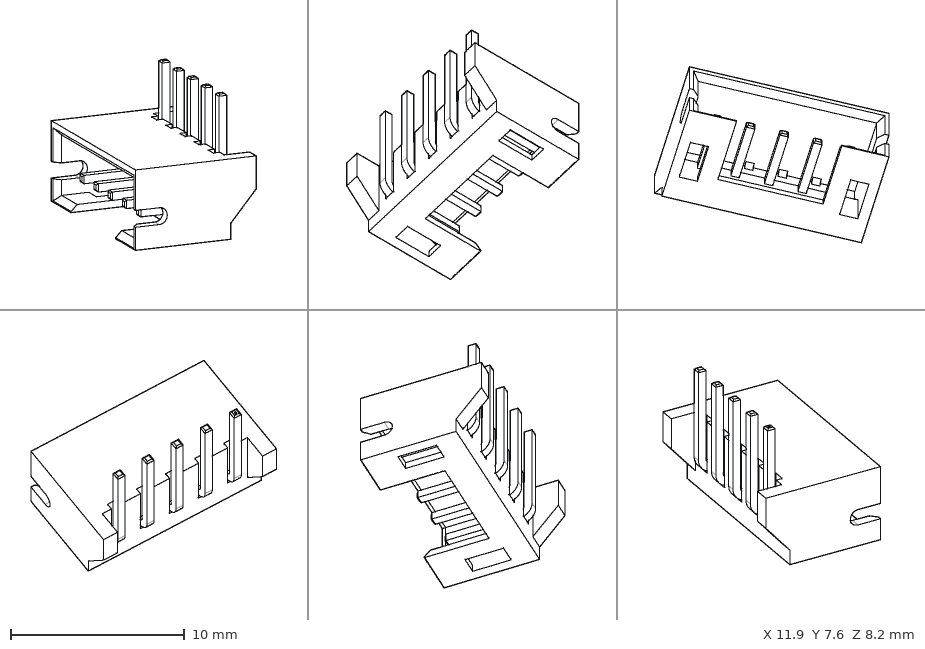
import cadquery as cq


width = 11.9
body_height = 4.8
body_depth = 6.01
ear_depth = 7.6
ear_width = 0.96
ear_slope_low = 0.96
ear_slope_high = 2.83

side_wall = 0.63
floor_thickness = 0.45
ceiling_thickness = 0.75
mouth_bevel = 0.38
lower_wall_y = 4.5
ledge_slope_low = 2.08
ledge_slope_high = 2.75
upper_wall_y = lower_wall_y + ledge_slope_high - ledge_slope_low
cavity_half_width = width / 2 - side_wall
cavity_top = body_height - ceiling_thickness

floor_gap_width = 6.27
floor_gap_depth = 4.07
window_width = 1.08
window_front_y = 2.08
side_slot_bottom = 1.38
side_slot_height = 1.0
side_slot_depth = 2.0

pin_count = 5
pitch = 2.0
pin_size = 0.5
pin_front_y = 1.0
pin_bottom = 1.45
pin_top = 8.2
pin_bend_radius = 0.4
pin_tip_chamfer = 0.1
pin_back_y = body_depth + pin_size
pin_notch_width = 0.73
first_pin_mark = 0.08
mark_depth = 0.05

gusset_size = 0.3
gusset_width = 0.5


def row(count):
    """X positions of evenly pitched items centred on X = 0."""
    return [(i - (count - 1) / 2) * pitch for i in range(count)]


def box(x_min, x_max, y_min, y_max, z_min, z_max):
    size = (x_max - x_min, y_max - y_min, z_max - z_min)
    return cq.Workplane("XY").box(*size, centered=False).translate((x_min, y_min, z_min))


def centred_box(x, x_size, y_min, y_max, z_min, z_max):
    return box(x - x_size / 2, x + x_size / 2, y_min, y_max, z_min, z_max)


def side_profile(x, points, thickness):
    """Prism with a (Y, Z) outline, centred on x."""
    prism = cq.Workplane("YZ").polyline(points).close().extrude(thickness / 2, both=True)
    return prism.translate((x, 0, 0))


def shroud_block():
    """Solid outline with two ears standing out behind the back wall."""
    outline = [
        (0, 0),
        (body_depth, 0),
        (body_depth, ear_slope_low),
        (ear_depth, ear_slope_high),
        (ear_depth, body_height),
        (0, body_height),
    ]
    block = side_profile(0, outline, width)
    return block.cut(centred_box(0, width - 2 * ear_width, body_depth, ear_depth, 0, body_height))


def plug_cavity():
    """Cavity with a sloped ledge on its back wall and a bevelled mouth."""
    outline = [
        (0, floor_thickness),
        (lower_wall_y, floor_thickness),
        (lower_wall_y, ledge_slope_low),
        (upper_wall_y, ledge_slope_high),
        (upper_wall_y, cavity_top),
        (0, cavity_top),
    ]
    cavity = side_profile(0, outline, 2 * cavity_half_width)
    mouth = (
        cq.Workplane("XZ")
        .center(0, (floor_thickness + cavity_top) / 2)
        .rect(2 * (cavity_half_width + mouth_bevel), cavity_top - floor_thickness + 2 * mouth_bevel)
        .workplane(offset=-mouth_bevel)
        .rect(2 * cavity_half_width, cavity_top - floor_thickness)
        .loft(ruled=True)
    )
    return cavity.union(mouth)


def floor_openings():
    """Wide gap in the floor, open at the front, and a window beside each side wall."""
    openings = centred_box(0, floor_gap_width, 0, floor_gap_depth, 0, floor_thickness + mouth_bevel)
    for side in (-1, 1):
        x = side * (cavity_half_width - window_width / 2)
        openings = openings.union(
            centred_box(x, window_width, window_front_y, lower_wall_y, 0, floor_thickness)
        )
    return openings


def side_slots():
    """Round-ended slot through both side walls, open at the front."""
    radius = side_slot_height / 2
    slot_top = side_slot_bottom + side_slot_height
    return (
        cq.Workplane("YZ")
        .moveTo(0, side_slot_bottom)
        .lineTo(side_slot_depth - radius, side_slot_bottom)
        .threePointArc((side_slot_depth, side_slot_bottom + radius), (side_slot_depth - radius, slot_top))
        .lineTo(0, slot_top)
        .close()
        .extrude(width / 2, both=True)
    )


def pin_notch(x):
    """Clearance in the top back edge, down to the underside of the pin."""
    front_y = body_depth - pin_bend_radius
    return centred_box(x, pin_notch_width, front_y, body_depth, pin_bottom, body_height)


def gusset(x):
    """45-degree wedge between the cavity ceiling and its back wall."""
    outline = [
        (upper_wall_y, cavity_top),
        (upper_wall_y - gusset_size, cavity_top),
        (upper_wall_y, cavity_top - gusset_size),
    ]
    return side_profile(x, outline, gusset_width)


def pin(x):
    """Square pin running back through the shroud, then bent upward."""
    horizontal = centred_box(x, pin_size, pin_front_y, pin_back_y, pin_bottom, pin_bottom + pin_size)
    upright = centred_box(x, pin_size, body_depth, pin_back_y, pin_bottom, pin_top)
    bent = horizontal.union(upright)
    inner_corner = cq.selectors.NearestToPointSelector((x, body_depth, pin_bottom + pin_size))
    outer_corner = cq.selectors.NearestToPointSelector((x, pin_back_y, pin_bottom))
    bent = bent.edges(inner_corner).fillet(pin_bend_radius)
    bent = bent.edges(outer_corner).fillet(pin_bend_radius + pin_size)
    return bent.faces("<Y or >Z").chamfer(pin_tip_chamfer)


shroud = shroud_block().cut(plug_cavity()).cut(floor_openings()).cut(side_slots())

for gusset_x in row(pin_count - 1):
    shroud = shroud.union(gusset(gusset_x))

for pin_x in row(pin_count):
    shroud = shroud.cut(pin_notch(pin_x))

result = shroud
for pin_x in row(pin_count):
    result = result.union(pin(pin_x))

pin_centre_y = body_depth + pin_size / 2
result = result.cut(
    centred_box(
        row(pin_count)[0],
        first_pin_mark,
        pin_centre_y - first_pin_mark / 2,
        pin_centre_y + first_pin_mark / 2,
        pin_top - mark_depth,
        pin_top,
    )
)